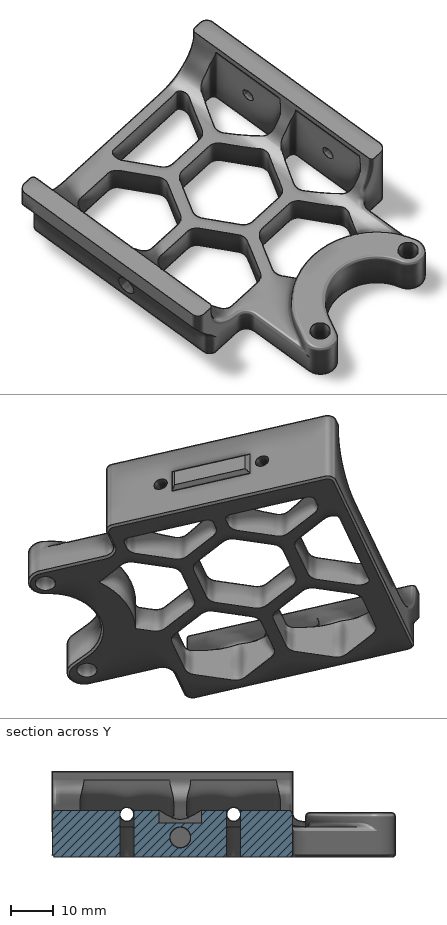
import math

import cadquery as cq

body_length = 56.36
body_width = 66.0
body_height = 20.0
wall = 5.0
floor_top = 7.0
cove_radius = 11.0
cove_top = floor_top + cove_radius
corner_radius = 2.0
bottom_chamfer = 0.5
edge_round = 1.0

undercut_depth = 4.13
undercut_low = 9.1
undercut_high = 14.75

tongue_low = 16.43
tongue_width = 40.0
tongue_high = tongue_low + tongue_width
tongue_corner = 3.0

band_half = 4.0
path_radius = 16.0
inner_radius = path_radius - band_half
outer_radius = path_radius + band_half
mount_height = 10.4
mount_hole_diameter = 4.7
mount_hole_spacing = 31.0
mount_hole_x = body_length + 19.0
ear_low_offset = 1.0
ear_high = (mount_hole_x, tongue_high - band_half)
ear_low = (mount_hole_x + ear_low_offset, tongue_low + band_half)
mount_center = (
    mount_hole_x + math.sqrt(path_radius**2 - (mount_hole_spacing / 2) ** 2),
    ear_high[1] - mount_hole_spacing / 2,
)

hex_flats = 22.0
hex_gap = 3.0
hex_round = 3.0
hex_corners = hex_flats * 2 / math.sqrt(3)
hex_pitch = hex_flats + hex_gap
row_pitch = hex_pitch * math.sqrt(3) / 2
comb_x = 30.0
comb_y = 41.0
side_columns = (comb_x - hex_pitch / 2, comb_x + hex_pitch / 2)

end_frame = 3.0
end_trim_round = 0.95
wall_recess = 0.1
wall_trim_y = body_width - wall + wall_recess
wall_trim_round = 1.5

pocket_skin = 1.0
pocket_floor = floor_top + 1.0
pocket_round = 0.9

front_hole_diameter = 4.8
front_hole_z = 4.6
front_hole_end = 11.0
back_hole_diameter = 3.2
back_hole_z = 10.0
pad_length = 19.2
pad_height = 6.2
pad_depth = 1.0
pad_bevel = 0.9

tolerance = 0.05


def block(x0, x1, y0, y1, z0, z1):
    return cq.Workplane("XY").box(x1 - x0, y1 - y0, z1 - z0, centered=False).translate((x0, y0, z0))


def rounded_block(y0, z1):
    """Body-length block from y0 to the +Y side with rounded vertical corners."""
    return block(0, body_length, y0, body_width, 0, z1).edges("|Z").fillet(corner_radius)


def make_undercut():
    """Wedge under the slope that removes the lower part of the -Y wall."""
    slope = (undercut_high - undercut_low) / undercut_depth
    reach = undercut_high / slope
    profile = cq.Workplane("YZ").polyline([(0, 0), (reach, 0), (0, undercut_high)]).close()
    return profile.extrude(body_length)


def make_lower_body():
    """Body below the undercut, with the tongue joined by rounded inside corners."""
    tongue_root = body_length / 2
    tongue_points = [
        (tongue_root, tongue_low),
        (ear_low[0], tongue_low),
        (ear_high[0], tongue_high),
        (tongue_root, tongue_high),
    ]
    tongue = cq.Workplane("XY").polyline(tongue_points).close().extrude(undercut_high)
    lower = rounded_block(undercut_depth, undercut_high).union(tongue)
    inside_corners = cq.selectors.BoxSelector(
        (body_length - tolerance, tongue_low - tolerance, 0),
        (body_length + tolerance, tongue_high + tolerance, undercut_high),
    )
    return lower.edges("|Z").edges(inside_corners).fillet(tongue_corner)


def make_cavity():
    """Channel with coved sides, cut along the whole body and tongue."""
    high = body_width - wall
    lean = cove_radius * (1 - math.sqrt(0.5))
    profile = (
        cq.Workplane("YZ")
        .moveTo(wall, body_height)
        .lineTo(wall, cove_top)
        .threePointArc((wall + lean, floor_top + lean), (wall + cove_radius, floor_top))
        .lineTo(high - cove_radius, floor_top)
        .threePointArc((high - lean, floor_top + lean), (high, cove_top))
        .lineTo(high, body_height)
        .close()
    )
    return profile.extrude(ear_low[0])


def is_cavity_rim(edge):
    """Edges of the channel at the -X end, at the +X end and along the tongue sides."""
    c = edge.Center()
    at_minus_end = c.x < tolerance
    at_plus_end = body_length - tolerance < c.x < mount_hole_x - tolerance
    in_cavity = wall - tolerance < c.y < body_width - wall + tolerance
    above_floor = floor_top - tolerance < c.z < body_height - tolerance
    return (at_minus_end or at_plus_end) and in_cavity and above_floor


def make_cradle():
    upper = rounded_block(0, body_height).cut(make_undercut())
    cradle = upper.union(make_lower_body()).cut(make_cavity())
    rim = [e for e in cradle.edges().vals() if is_cavity_rim(e)]
    return cradle.newObject(rim).fillet(edge_round)


def polar(center, radius, angle):
    return (center[0] + radius * math.cos(angle), center[1] + radius * math.sin(angle))


def make_mount_blank():
    """Arc band with square top edges; both long sides follow the same path at a fixed distance."""
    dx = ear_low[0] - mount_center[0]
    dy = ear_low[1] - mount_center[1]
    low = math.atan2(dy, dx) - math.acos(path_radius / math.hypot(dx, dy))
    high = math.atan2(ear_high[1] - mount_center[1], ear_high[0] - mount_center[0]) - 2 * math.pi
    middle = (low + high) / 2
    quarter = math.pi / 2
    outer_high = polar(mount_center, outer_radius, high)
    outer_low = polar(mount_center, outer_radius, low)
    inner_high = polar(mount_center, inner_radius, high)
    inner_low = polar(mount_center, inner_radius, low)
    return (
        cq.Workplane("XY")
        .moveTo(*outer_high)
        .threePointArc(polar(mount_center, outer_radius, middle), outer_low)
        .lineTo(*polar(ear_low, band_half, low))
        .threePointArc(polar(ear_low, band_half, low + quarter), polar(ear_low, band_half, low + 2 * quarter))
        .lineTo(*inner_low)
        .threePointArc(polar(mount_center, inner_radius, middle), inner_high)
        .threePointArc(polar(ear_high, band_half, high - quarter), outer_high)
        .close()
        .extrude(mount_height)
    )


def is_mount_foot(edge):
    """Edges where the outer wall of the mount meets the channel surface of the tongue."""
    c = edge.Center()
    lies_inside_tongue = tongue_low + edge_round < c.y < tongue_high - 2 * edge_round
    at_wall = body_length + tongue_corner < c.x < mount_hole_x - edge_round
    on_surface = floor_top - tolerance < c.z < floor_top + edge_round
    return lies_inside_tongue and at_wall and on_surface and not on_tongue_side(c)


def on_tongue_side(point):
    return abs(point.y - tongue_low - edge_round) < tolerance


def make_frame():
    """Cradle and mount joined, before any opening is cut."""
    bore = cq.Workplane("XY").center(*mount_center).circle(path_radius).extrude(body_height)
    mount = make_mount_blank().faces(">Z").edges().fillet(edge_round)
    frame = make_cradle().cut(bore).union(mount).faces("<Z").chamfer(bottom_chamfer)
    foot = [e for e in frame.edges().vals() if is_mount_foot(e)]
    return frame.newObject(foot).fillet(edge_round)


def hex_opening(x, y):
    """Sharp hexagonal cutter with two sides facing -X and +X."""
    prism = cq.Workplane("XY").polygon(6, hex_corners).extrude(body_height)
    return prism.rotate((0, 0, 0), (0, 0, 1), 30).translate((x, y, 0))


def rounded_hex(x, y):
    return hex_opening(x, y).edges("|Z").fillet(hex_round)


def trimmed_hex(x, y, trim, trim_face, trim_round):
    """Hexagonal cutter trimmed by a block, with its own radius where the trim face cuts it."""
    cutter = hex_opening(x, y).intersect(trim)
    new_corners = cutter.faces(trim_face).edges("|Z")
    old_corners = cutter.edges("|Z").filter(
        lambda edge: all(not edge.isSame(corner) for corner in new_corners.vals())
    )
    return old_corners.fillet(hex_round).faces(trim_face).edges("|Z").fillet(trim_round)


def row_y(row):
    return comb_y + row * row_pitch


def make_through_openings():
    far_x = body_length + hex_pitch
    end_trim = block(end_frame, far_x, 0, body_width, 0, body_height)
    wall_trim = block(0, far_x, 0, wall_trim_y, 0, cove_top)
    openings = [
        trimmed_hex(comb_x - hex_pitch, comb_y, end_trim, "<X", end_trim_round),
        rounded_hex(comb_x, comb_y),
        rounded_hex(comb_x + hex_pitch, comb_y).cut(make_mount_blank()),
    ]
    for x in side_columns:
        openings.append(rounded_hex(x, row_y(-1)))
        openings.append(trimmed_hex(x, row_y(1), wall_trim, ">Y", wall_trim_round))
    return openings


def make_blind_pocket():
    near_y = undercut_depth + pocket_skin
    trim = block(0, body_length, near_y, body_width, pocket_floor, body_height)
    return trimmed_hex(comb_x, row_y(-2), trim, "<Y", pocket_round)


def hole_along_y(x, z, diameter, y0, y1):
    circle = cq.Workplane("XZ", origin=(x, y0, z)).circle(diameter / 2)
    return circle.extrude(y0 - y1)


def make_holes():
    holes = [hole_along_y(comb_x, front_hole_z, front_hole_diameter, 0, front_hole_end)]
    for x in side_columns:
        holes.append(hole_along_y(x, back_hole_z, back_hole_diameter, body_width - 2 * wall, body_width))
    for y in (ear_high[1], ear_high[1] - mount_hole_spacing):
        circle = cq.Workplane("XY").center(mount_hole_x, y).circle(mount_hole_diameter / 2)
        holes.append(circle.extrude(mount_height))
    return holes


def make_pad():
    """Bevelled locating pad on the outside of the +Y wall."""
    pad = cq.Workplane("XY").box(pad_length, pad_depth, pad_height).faces(">Y").chamfer(pad_bevel)
    return pad.translate((comb_x, body_width + pad_depth / 2, back_hole_z))


result = make_frame()
for cutter in make_through_openings() + [make_blind_pocket()] + make_holes():
    result = result.cut(cutter)
result = result.union(make_pad())